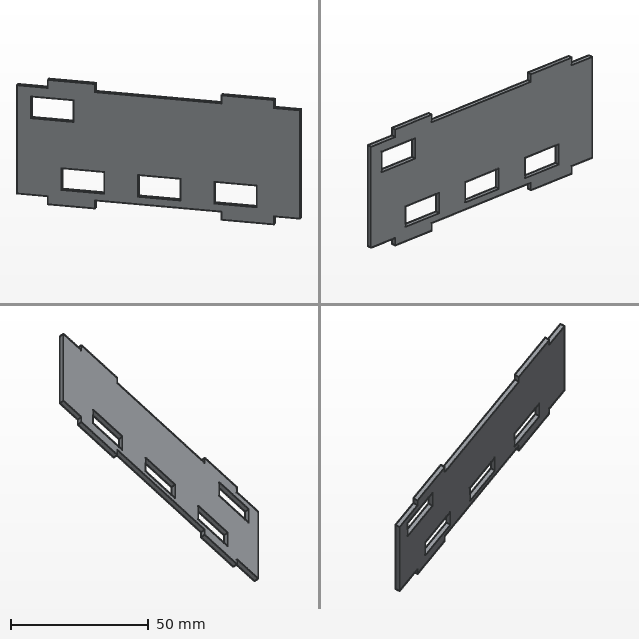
import cadquery as cq

length = 106.5
thickness = 1.8
overall_height = 47.6
tab_height = 3.1
body_height = overall_height - 2 * tab_height

left_tab = (11.6, 17.7)
right_tab = (77.0, 19.7)

window_width = 16.1
window_height = 8.3
window_row_start = 16.7
window_pitch = 28.8
window_row_count = 3
window_row_bottom = 2.9
corner_window_left = 5.2
corner_window_top_margin = 3.8

left_end = -length / 2
body_bottom = -body_height / 2
body_top = body_height / 2


def block(left, bottom, width, height):
    """Box of plate thickness, placed by its lower left corner."""
    return cq.Workplane("XY").box(width, thickness, height).translate(
        (left + width / 2, 0, bottom + height / 2)
    )


plate = block(left_end, body_bottom, length, body_height)

for offset, width in (left_tab, right_tab):
    plate = plate.union(block(left_end + offset, -overall_height / 2, width, overall_height))

for index in range(window_row_count):
    left = left_end + window_row_start + index * window_pitch
    plate = plate.cut(block(left, body_bottom + window_row_bottom, window_width, window_height))

corner_window_bottom = body_top - corner_window_top_margin - window_height
plate = plate.cut(
    block(left_end + corner_window_left, corner_window_bottom, window_width, window_height)
)

result = plate